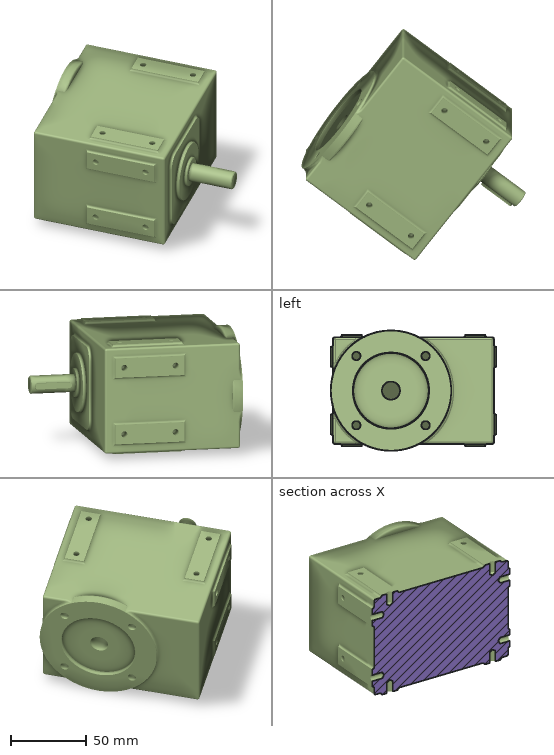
import cadquery as cq
import math

OVERALL_WIDTH = 110.0
HOUSING_FRONT_X = 1.7
HOUSING_BACK_X = 93.8
HOUSING_WIDTH = 107.0
HOUSING_HEIGHT = 71.0
HOUSING_LENGTH = HOUSING_BACK_X - HOUSING_FRONT_X
EDGE_RADIUS = 1.4
SELECTION_MARGIN = 0.1

FLANGE_DIAMETER = 80.0
FLANGE_THICKNESS = 7.1
FLANGE_BACK_ROUND = 1.4
NECK_FILLET_RADIUS = 1.4
NECK_OVERRUN = 6.5

AXIS_OFFSET = (OVERALL_WIDTH - FLANGE_DIAMETER) / 2

RECESS_DIAMETER = 50.0
RECESS_DEPTH = 3.0
RECESS_CHAMFER = 0.4
BORE_DIAMETER = 12.0
BORE_DEPTH = 30.0
BOLT_CIRCLE_DIAMETER = 65.0
BOLT_HOLE_DIAMETER = 5.6
BOLT_HOLE_DEPTH = 12.0
BOLT_HOLE_COUNT = 4
BOLT_START_ANGLE = 45

PAD_LENGTH = 50.0
PAD_WIDTH = 16.0
PAD_HEIGHT = (OVERALL_WIDTH - HOUSING_WIDTH) / 2
PAD_CENTER_X = 63.5
PAD_SPACING_TOP = 82.0
PAD_SPACING_SIDE = 45.0
PAD_HOLE_DIAMETER = 4.1
PAD_HOLE_SPACING = 35.0
PAD_HOLE_DEPTH = 8.0
DRILL_POINT_ANGLE = 118

BOSS_SIDE = 56.2
BOSS_CORNER_RADIUS = 7.8
BOSS_END_X = 95.5
BOSS_FOOT_RADIUS = BOSS_END_X - HOUSING_BACK_X
CAP_DIAMETER = 40.0
CAP_END_X = 97.6
CAP_CHAMFER_LENGTH = 0.8
CAP_CHAMFER_DEPTH = 0.4
HUB_DIAMETER = 20.0
HUB_END_X = 99.5
HUB_CHAMFER = 0.5
SHAFT_DIAMETER = 12.0
SHAFT_END_X = 129.5
SHAFT_CHAMFER = 0.5
KEY_WIDTH = 4.0
KEY_LENGTH = 25.0
KEY_START_X = 102.3
KEY_PROTRUSION = 1.4


def cylinder_x(start_x, end_x, diameter, y):
    """Round bar along X between two X positions, its axis at Z = 0."""
    return cq.Workplane("YZ", origin=(start_x, y, 0)).circle(diameter / 2).extrude(end_x - start_x)


def make_housing():
    """Box with a round neck that flares out of its front face, its edges rounded along the flare."""
    box = cq.Workplane("XY").box(HOUSING_LENGTH, HOUSING_WIDTH, HOUSING_HEIGHT)
    box = box.translate(((HOUSING_FRONT_X + HOUSING_BACK_X) / 2, 0, 0))
    neck = cylinder_x(-NECK_OVERRUN, HOUSING_BACK_X, FLANGE_DIAMETER, AXIS_OFFSET)
    outline = cq.Workplane("XY").box(2 * SHAFT_END_X, HOUSING_WIDTH, HOUSING_HEIGHT)
    body = box.union(neck.intersect(outline))
    front_plane = cq.selectors.BoxSelector(
        (HOUSING_FRONT_X - SELECTION_MARGIN, -HOUSING_WIDTH, -HOUSING_HEIGHT),
        (HOUSING_FRONT_X + SELECTION_MARGIN, HOUSING_WIDTH, HOUSING_HEIGHT),
        boundingbox=True,
    )
    body = body.edges(front_plane).edges("%CIRCLE").fillet(NECK_FILLET_RADIUS)
    body = body.edges("not (%CIRCLE or <X)").fillet(EDGE_RADIUS)
    return body.cut(cylinder_x(-NECK_OVERRUN, 0, 2 * FLANGE_DIAMETER, AXIS_OFFSET))


def make_flange():
    """Round flange with its back rim rounded."""
    flange = cylinder_x(0, FLANGE_THICKNESS, FLANGE_DIAMETER, AXIS_OFFSET)
    return flange.faces(">X").edges().fillet(FLANGE_BACK_ROUND)


def make_pad():
    """Pad lying on Z = 0 with a quarter-round groove along each edge, mitred at the corners."""
    pad = cq.Workplane("XY").box(PAD_LENGTH, PAD_WIDTH, 2 * PAD_HEIGHT)
    for side in (-1, 1):
        long_groove = cq.Workplane("YZ", origin=(0, side * PAD_WIDTH / 2, PAD_HEIGHT)).circle(PAD_HEIGHT)
        end_groove = cq.Workplane("XZ", origin=(side * PAD_LENGTH / 2, 0, PAD_HEIGHT)).circle(PAD_HEIGHT)
        pad = pad.cut(long_groove.extrude(PAD_LENGTH, both=True))
        pad = pad.cut(end_groove.extrude(PAD_WIDTH, both=True))
    return pad


def make_pad_drill():
    """Blind hole with a conical end, its mouth at Z = 0."""
    radius = PAD_HOLE_DIAMETER / 2
    point = radius / math.tan(math.radians(DRILL_POINT_ANGLE / 2))
    profile = [(0, 0), (radius, 0), (radius, -PAD_HOLE_DEPTH), (0, -PAD_HOLE_DEPTH - point)]
    return cq.Workplane("XZ").polyline(profile).close().revolve(360, (0, 0), (0, 1))


def add_pads(body, spacing, half_size, turn):
    """Add a pair of drilled pads to the housing side reached by turning the top about X."""
    axis_start = (0, 0, 0)
    axis_end = (1, 0, 0)
    for side in (-1, 1):
        pad = make_pad().translate((PAD_CENTER_X, side * spacing / 2, half_size))
        body = body.union(pad.rotate(axis_start, axis_end, turn))
        for along in (-1, 1):
            hole_x = PAD_CENTER_X + along * PAD_HOLE_SPACING / 2
            drill = make_pad_drill().translate((hole_x, side * spacing / 2, half_size + PAD_HEIGHT))
            body = body.cut(drill.rotate(axis_start, axis_end, turn))
    return body


def add_boss(body):
    """Add the square output boss, whose concave foot fillet spans its whole height."""
    boss = cq.Workplane("YZ", origin=(HOUSING_BACK_X, -AXIS_OFFSET, 0)).rect(BOSS_SIDE, BOSS_SIDE)
    boss = boss.extrude(2 * BOSS_FOOT_RADIUS).edges("|X").fillet(BOSS_CORNER_RADIUS)
    foot_reach = BOSS_SIDE / 2 + SELECTION_MARGIN
    foot = cq.selectors.BoxSelector(
        (HOUSING_BACK_X - SELECTION_MARGIN, -AXIS_OFFSET - foot_reach, -foot_reach),
        (HOUSING_BACK_X + SELECTION_MARGIN, -AXIS_OFFSET + foot_reach, foot_reach),
        boundingbox=True,
    )
    body = body.union(boss).edges(foot).fillet(BOSS_FOOT_RADIUS)
    return body.cut(cylinder_x(BOSS_END_X, SHAFT_END_X, 2 * BOSS_SIDE, -AXIS_OFFSET))


def make_output():
    """Bearing cap, hub and shaft with its parallel key."""
    cap = cylinder_x(HOUSING_BACK_X, CAP_END_X, CAP_DIAMETER, -AXIS_OFFSET)
    cap = cap.faces(">X").chamfer(CAP_CHAMFER_LENGTH, CAP_CHAMFER_DEPTH)
    hub = cylinder_x(HOUSING_BACK_X, HUB_END_X, HUB_DIAMETER, -AXIS_OFFSET)
    hub = hub.faces(">X").chamfer(HUB_CHAMFER)
    shaft = cylinder_x(HOUSING_BACK_X, SHAFT_END_X, SHAFT_DIAMETER, -AXIS_OFFSET)
    shaft = shaft.faces(">X").chamfer(SHAFT_CHAMFER)
    key = cq.Workplane("XZ", origin=(KEY_START_X + KEY_LENGTH / 2, -AXIS_OFFSET, 0))
    key = key.slot2D(KEY_LENGTH, KEY_WIDTH).extrude(-(SHAFT_DIAMETER / 2 + KEY_PROTRUSION))
    return cap.union(hub).union(shaft).union(key)


def flange_cuts():
    """Centring recess, motor shaft bore and four bolt holes in the flange face."""
    recess = cylinder_x(0, RECESS_DEPTH, RECESS_DIAMETER, AXIS_OFFSET)
    recess_radius = RECESS_DIAMETER / 2
    lead_in_profile = [
        (0, 0),
        (0, recess_radius + RECESS_CHAMFER),
        (RECESS_CHAMFER, recess_radius),
        (RECESS_CHAMFER, 0),
    ]
    lead_in = cq.Workplane("XY", origin=(0, AXIS_OFFSET, 0)).polyline(lead_in_profile).close()
    lead_in = lead_in.revolve(360, (0, 0), (1, 0))
    bore = cylinder_x(0, BORE_DEPTH, BORE_DIAMETER, AXIS_OFFSET)
    bolt_holes = cq.Workplane("YZ", origin=(0, AXIS_OFFSET, 0))
    bolt_holes = bolt_holes.polarArray(BOLT_CIRCLE_DIAMETER / 2, BOLT_START_ANGLE, 360, BOLT_HOLE_COUNT)
    bolt_holes = bolt_holes.circle(BOLT_HOLE_DIAMETER / 2).extrude(BOLT_HOLE_DEPTH)
    return recess.union(lead_in).union(bore).union(bolt_holes)


body = add_boss(make_housing())
body = body.union(make_flange()).union(make_output())
for top_or_bottom in (0, 180):
    body = add_pads(body, PAD_SPACING_TOP, HOUSING_HEIGHT / 2, top_or_bottom)
for left_or_right in (90, 270):
    body = add_pads(body, PAD_SPACING_SIDE, HOUSING_WIDTH / 2, left_or_right)

result = body.cut(flange_cuts())